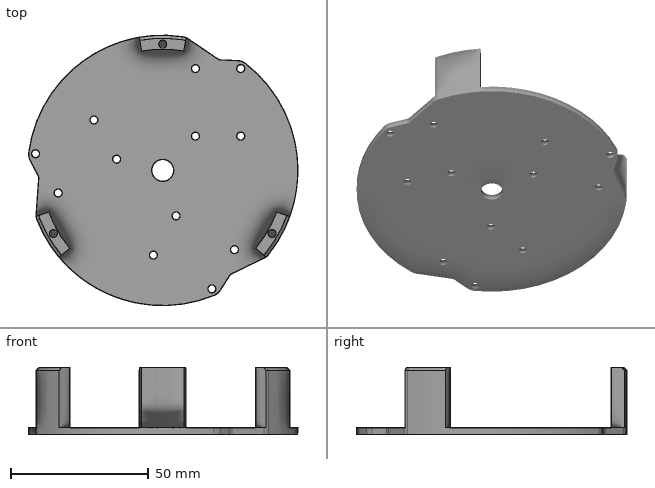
import cadquery as cq
import math

plate_radius = 49.28
plate_thickness = 2.5
center_hole_diameter = 7.9

repeat_angles = (0, 120, 240)

notch_start_angle = 54.2
notch_end_angle = 80.2
notch_corner = (20.5, 40.35)
tip_round = 5.0
post_side_round = 5.0
inner_corner_round = 2.0

rim_overshoot = 5.0

mount_hole_diameter = 2.8
mount_spacing_x = 16.5
mount_spacing_y = 24.6
mount_center = (20.18, 24.8)

total_height = 24.5
post_angle = 90
post_span = 20
post_inner_radius = 44.2
post_chamfer = 1.15
post_hole_diameter = 2.9
post_hole_radius = 46.0
post_hole_depth = 10.0


def polar(radius, angle):
    """Point at the given radius and angle in degrees."""
    return (radius * math.cos(math.radians(angle)), radius * math.sin(math.radians(angle)))


def repeat(shape):
    """Join copies of a shape placed at every repeat angle."""
    copies = cq.Workplane("XY")
    for angle in repeat_angles:
        copies = copies.add(shape.rotate((0, 0, 0), (0, 0, 1), angle))
    return copies.combine()


def round_corners(body, corner, radius):
    """Round the upright edge at a corner point and at its repeats."""
    corner_radius = math.hypot(*corner)
    corner_angle = math.degrees(math.atan2(corner[1], corner[0]))
    for angle in repeat_angles:
        x, y = polar(corner_radius, corner_angle + angle)
        nearest = cq.selectors.NearestToPointSelector((x, y, 0))
        body = body.edges("|Z").edges(nearest).fillet(radius)
    return body


def make_outline(height):
    """Notched and rounded disc, extruded to the given height."""
    start = polar(plate_radius, notch_start_angle)
    end = polar(plate_radius, notch_end_angle)
    middle_angle = (notch_start_angle + notch_end_angle) / 2
    outside = polar(plate_radius + rim_overshoot, middle_angle)
    notch = cq.Workplane("XY").polyline([notch_corner, start, outside, end]).close().extrude(height)
    body = cq.Workplane("XY").circle(plate_radius).extrude(height).cut(repeat(notch))
    body = round_corners(body, start, tip_round)
    body = round_corners(body, end, post_side_round)
    return round_corners(body, notch_corner, inner_corner_round)


def make_posts():
    """Chamfered slices of the rim with a blind hole in each top."""
    first_angle = post_angle - post_span / 2
    last_angle = post_angle + post_span / 2
    reach = plate_radius + rim_overshoot
    sector = (
        cq.Workplane("XY")
        .moveTo(*polar(post_inner_radius, first_angle))
        .lineTo(*polar(reach, first_angle))
        .threePointArc(polar(reach, post_angle), polar(reach, last_angle))
        .lineTo(*polar(post_inner_radius, last_angle))
        .threePointArc(polar(post_inner_radius, post_angle), polar(post_inner_radius, first_angle))
        .close()
        .extrude(total_height)
    )
    rim = make_outline(total_height).faces(">Z").edges().chamfer(post_chamfer)
    post_hole = (
        cq.Workplane("XY", origin=(0, 0, total_height - post_hole_depth))
        .center(*polar(post_hole_radius, post_angle))
        .circle(post_hole_diameter / 2)
        .extrude(post_hole_depth)
    )
    return rim.intersect(repeat(sector)).cut(repeat(post_hole))


def make_plate():
    """Flat plate with the center hole and the mounting holes."""
    mount_holes = (
        cq.Workplane("XY")
        .center(*mount_center)
        .rect(mount_spacing_x, mount_spacing_y, forConstruction=True)
        .vertices()
        .circle(mount_hole_diameter / 2)
        .extrude(plate_thickness)
    )
    center_hole = cq.Workplane("XY").circle(center_hole_diameter / 2).extrude(plate_thickness)
    return make_outline(plate_thickness).cut(center_hole).cut(repeat(mount_holes))


result = make_plate().union(make_posts())